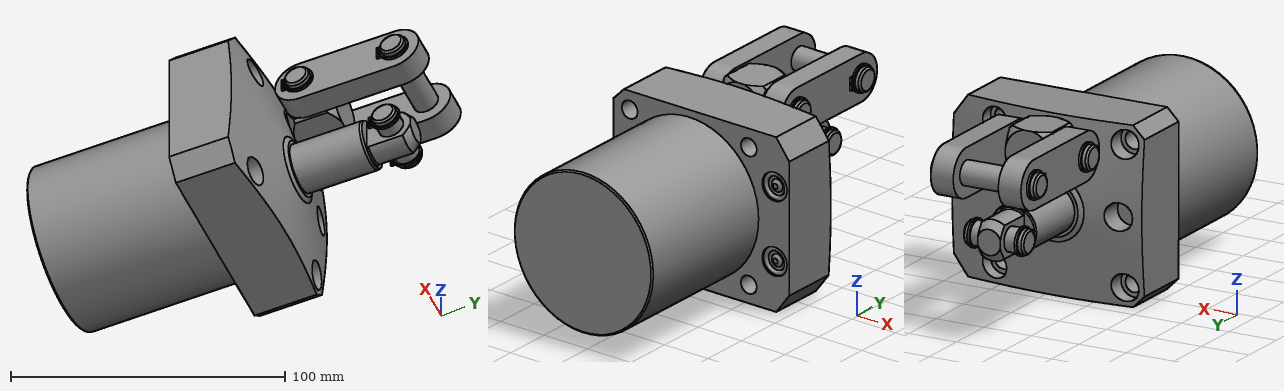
import cadquery as cq
import math


FULL_TURN = 360

BODY_RADIUS = 32.0
BODY_LENGTH = 63.3
BODY_CHAMFER = 0.6

FLANGE_HEIGHT = 69.8
FLANGE_HALF_HEIGHT = FLANGE_HEIGHT / 2
FLANGE_LEFT = FLANGE_HALF_HEIGHT
FLANGE_WIDTH = 81.0
FLANGE_RIGHT = FLANGE_WIDTH - FLANGE_LEFT
LEFT_CORNER_CUT = 4.8
RIGHT_CORNER_CUT_X = 6.0
RIGHT_CORNER_CUT_Z = 8.1

BACK_SLOPE = math.radians(10)
BACK_EDGE_Y = 26.8
HUB_BASE_RADIUS = 12.8
HUB_TOP_RADIUS = 10.9
HUB_TOP_Y = 31.8

BOLT_OFFSET = 27.5
BOLT_HOLE_DIAMETER = 7.2
RECESS_DIAMETER = 10.9
RECESS_FLOOR_Y = 19.6
BACK_RECESS_X = -26.0

PORT_X = 39.4
PORT_Z = 15.0
PORT_RADIUS = 5.7
PORT_DEPTH = 1.5
RING_INNER_RADIUS = 3.9
RING_CREST_DEPTH = 0.08
CONE_BASE_RADIUS = 2.5
CONE_TIP_RADIUS = 1.0
CONE_TIP_DEPTH = 0.5

ROD_RADIUS = 9.5
ROD_END_Y = 60.5
ROD_END_RADIUS = 9.2
ROD_TAPER_LENGTH = 0.9
TONGUE_RADIUS = 8.0
TONGUE_THICKNESS = 9.5
TONGUE_END_Y = 77.8
TONGUE_ROOT_CHAMFER = 0.6
TONGUE_CHAMFER = 3.0

TOTAL_LENGTH = 150.8
LINK_END_Y = TOTAL_LENGTH - BODY_LENGTH
LINK_RADIUS = 9.7
LINK_INNER_X = 9.5
LINK_THICKNESS = 9.5
LINK_OUTER_X = LINK_INNER_X + LINK_THICKNESS
LINK_Z = FLANGE_HALF_HEIGHT - LINK_RADIUS
LINK_PIN_SPACING = 38.0
OUTER_PIN_Y = LINK_END_Y - LINK_RADIUS
INNER_PIN_Y = OUTER_PIN_Y - LINK_PIN_SPACING

BLOCK_HALF_SIZE = LINK_INNER_X
BLOCK_TURNED_RADIUS = 12.7
BLOCK_END_CHAMFER = 3.0
POST_RADIUS = 6.3

PIN_RADIUS = 4.8
PIN_CHAMFER = 0.8
PIN_OVERHANG = 3.2
CLIP_RADIUS = 5.6
CLIP_THICKNESS = 0.9
CLIP_EAR_REACH = 6.8
CLIP_EAR_WIDTH = 5.1
CLIP_GAP_WIDTH = 0.8
CLIP_EYE_DIAMETER = 0.9
CLIP_EYE_REACH = 5.7
CLIP_EYE_SPACING = 2.7
TONGUE_PIN_Y = 70.3
TONGUE_CLIP_X = LINK_INNER_X


def back_face_y(radius):
    """Height of the conical back face at a distance from the axis."""
    return BACK_EDGE_Y - (radius - FLANGE_HALF_HEIGHT) * math.tan(BACK_SLOPE)


def y_cylinder(radius, y_start, y_end, x=0, z=0):
    """Cylinder along +Y."""
    base = cq.Workplane("XZ", origin=(x, y_start, z))
    return base.circle(radius).extrude(y_start - y_end)


def make_body():
    body = y_cylinder(BODY_RADIUS, -BODY_LENGTH, RECESS_FLOOR_Y)
    return body.faces("<Y").chamfer(BODY_CHAMFER)


def make_flange():
    top = FLANGE_HALF_HEIGHT
    upper = [
        (-FLANGE_LEFT, top - LEFT_CORNER_CUT),
        (-FLANGE_LEFT + LEFT_CORNER_CUT, top),
        (FLANGE_RIGHT - RIGHT_CORNER_CUT_X, top),
        (FLANGE_RIGHT, top - RIGHT_CORNER_CUT_Z),
    ]
    lower = [(x, -z) for x, z in reversed(upper)]
    plate = cq.Workplane("XZ").polyline(upper + lower).close().extrude(-HUB_TOP_Y)

    reach = FLANGE_WIDTH
    turned = (
        cq.Workplane("XY")
        .moveTo(0, 0)
        .lineTo(reach, 0)
        .lineTo(reach, back_face_y(reach))
        .lineTo(HUB_BASE_RADIUS, back_face_y(HUB_BASE_RADIUS))
        .lineTo(HUB_TOP_RADIUS, HUB_TOP_Y)
        .lineTo(0, HUB_TOP_Y)
        .close()
        .revolve(FULL_TURN, (0, 0, 0), (0, 1, 0))
    )
    return plate.intersect(turned)


def cut_screw_holes(solid):
    for x in (-BOLT_OFFSET, BOLT_OFFSET):
        for z in (-BOLT_OFFSET, BOLT_OFFSET):
            hole = y_cylinder(BOLT_HOLE_DIAMETER / 2, 0, HUB_TOP_Y, x, z)
            recess = y_cylinder(RECESS_DIAMETER / 2, RECESS_FLOOR_Y, HUB_TOP_Y, x, z)
            solid = solid.cut(hole).cut(recess)
    return solid.cut(y_cylinder(RECESS_DIAMETER / 2, RECESS_FLOOR_Y, HUB_TOP_Y, BACK_RECESS_X, 0))


def make_port_recess():
    """Recess around a sealing ring and a small central cone, opening at Y = 0."""
    ring_half_width = (PORT_RADIUS - RING_INNER_RADIUS) / 2
    ring_middle = RING_INNER_RADIUS + ring_half_width
    ring_side_depth = RING_CREST_DEPTH + ring_half_width
    return (
        cq.Workplane("XY")
        .moveTo(0, 0)
        .lineTo(0, CONE_TIP_DEPTH)
        .lineTo(CONE_TIP_RADIUS, CONE_TIP_DEPTH)
        .lineTo(CONE_BASE_RADIUS, PORT_DEPTH)
        .lineTo(RING_INNER_RADIUS, PORT_DEPTH)
        .lineTo(RING_INNER_RADIUS, ring_side_depth)
        .threePointArc((ring_middle, RING_CREST_DEPTH), (PORT_RADIUS, ring_side_depth))
        .lineTo(PORT_RADIUS, 0)
        .close()
        .revolve(FULL_TURN, (0, 0, 0), (0, 1, 0))
    )


def make_rod():
    rod = (
        cq.Workplane("XY")
        .moveTo(0, 0)
        .lineTo(ROD_RADIUS, 0)
        .lineTo(ROD_RADIUS, ROD_END_Y - ROD_TAPER_LENGTH)
        .lineTo(ROD_END_RADIUS, ROD_END_Y)
        .lineTo(0, ROD_END_Y)
        .close()
        .revolve(FULL_TURN, (0, 0, 0), (0, 1, 0))
    )
    round_tongue = (
        cq.Workplane("XY")
        .moveTo(0, 0)
        .lineTo(TONGUE_RADIUS + TONGUE_ROOT_CHAMFER, 0)
        .lineTo(TONGUE_RADIUS + TONGUE_ROOT_CHAMFER, ROD_END_Y)
        .lineTo(TONGUE_RADIUS, ROD_END_Y + TONGUE_ROOT_CHAMFER)
        .lineTo(TONGUE_RADIUS, TONGUE_END_Y - TONGUE_CHAMFER)
        .lineTo(TONGUE_RADIUS - TONGUE_CHAMFER, TONGUE_END_Y)
        .lineTo(0, TONGUE_END_Y)
        .close()
        .revolve(FULL_TURN, (0, 0, 0), (0, 1, 0))
    )
    flats = cq.Workplane("XY").box(TONGUE_THICKNESS, 2 * TONGUE_END_Y, 2 * ROD_RADIUS)
    return rod.union(round_tongue.intersect(flats))


def make_link(x_start):
    return (
        cq.Workplane("YZ", origin=(x_start, (OUTER_PIN_Y + INNER_PIN_Y) / 2, LINK_Z))
        .slot2D(LINK_PIN_SPACING + 2 * LINK_RADIUS, 2 * LINK_RADIUS)
        .extrude(LINK_THICKNESS)
    )


def make_fulcrum():
    """Turned block with four flats, standing on a round post."""
    size = 2 * BLOCK_HALF_SIZE
    y_start = INNER_PIN_Y - BLOCK_HALF_SIZE
    turned = y_cylinder(BLOCK_TURNED_RADIUS, y_start, y_start + size, 0, LINK_Z)
    turned = turned.faces("<Y or >Y").chamfer(BLOCK_END_CHAMFER)
    flats = cq.Workplane("XY").box(size, size, size).translate((0, INNER_PIN_Y, LINK_Z))
    post = y_cylinder(POST_RADIUS, RECESS_FLOOR_Y, INNER_PIN_Y, 0, LINK_Z)
    return turned.intersect(flats).union(post)


def make_clip(x, y, z):
    """Flat ring from X = x upwards, with two eyed ears that point towards -Y."""
    plane = cq.Workplane("YZ", origin=(x, y, z))
    ring = plane.circle(CLIP_RADIUS).extrude(CLIP_THICKNESS)
    ears = (
        plane.center(-CLIP_EAR_REACH / 2, 0)
        .rect(CLIP_EAR_REACH, CLIP_EAR_WIDTH)
        .extrude(CLIP_THICKNESS)
    )
    gap = (
        plane.center(-CLIP_EAR_REACH / 2, 0)
        .rect(CLIP_EAR_REACH, CLIP_GAP_WIDTH)
        .extrude(CLIP_THICKNESS)
    )
    eyes = (
        plane.pushPoints([(-CLIP_EYE_REACH, side * CLIP_EYE_SPACING / 2) for side in (-1, 1)])
        .circle(CLIP_EYE_DIAMETER / 2)
        .extrude(CLIP_THICKNESS)
    )
    return ring.union(ears).cut(gap).cut(eyes)


def make_pin(y, z, clip_face_x):
    """Pin along X with two eared clips, their inner faces at X = +/- clip_face_x."""
    half_length = clip_face_x + PIN_OVERHANG
    start = cq.Workplane("YZ", origin=(-half_length, y, z))
    pin = start.circle(PIN_RADIUS).extrude(2 * half_length)
    pin = pin.faces("<X or >X").chamfer(PIN_CHAMFER)
    for clip_x in (-clip_face_x - CLIP_THICKNESS, clip_face_x):
        pin = pin.union(make_clip(clip_x, y, z))
    return pin


result = cut_screw_holes(make_body().union(make_flange()))
for port_z in (-PORT_Z, PORT_Z):
    result = result.cut(make_port_recess().translate((PORT_X, 0, port_z)))

result = result.union(make_rod()).union(make_fulcrum())
for link_x in (-LINK_OUTER_X, LINK_INNER_X):
    result = result.union(make_link(link_x))

result = result.union(make_pin(OUTER_PIN_Y, LINK_Z, LINK_OUTER_X))
result = result.union(make_pin(INNER_PIN_Y, LINK_Z, LINK_OUTER_X))
result = result.union(make_pin(TONGUE_PIN_Y, 0, TONGUE_CLIP_X))